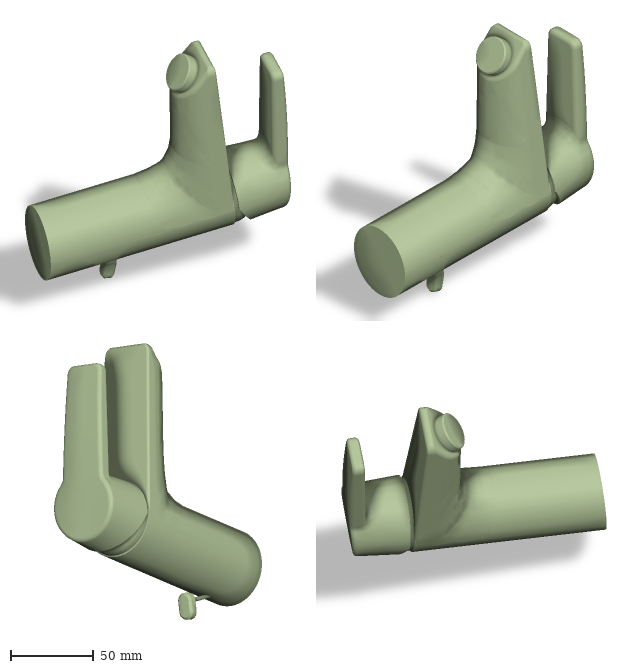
import cadquery as cq
import math

body_tilt = 5.0
body_diameter = 47.0
body_radius = body_diameter / 2
body_length = 119.5
end_overrun = 4.8
cutter_size = 160.3

spout_side_y = 108.2
spout_blend_z = 47.5
spout_front_y = 87.7
spout_front_slope = 0.075
spout_side_slope = 0.068
spout_height = 117.0
spout_tip_z = 111.4
spout_corner_radius = 6.4
spout_top_z = 115.4
spout_top_angle = 52.0
spout_edge_radius = 2.9
spout_back_edge_radius = 1.6

blend_start_y = 66.0
blend_steps = 10

outlet_radius = 11.7
outlet_height = 6.3
outlet_offset = 22.5
outlet_angle = 55.6
outlet_depth = 4.8
outlet_edge = 0.8

neck_radius = 22.5
neck_length = 3.8
cap_length = 12.8
cap_end_radius = 17.6
cap_bulge_radius = 21.2
cap_bulge_y = 8.0
joint_overlap = 1.6

head_front_y = 122.3
head_front_diameter = 48.5
head_front_radius = head_front_diameter / 2
head_back_radius = 21.6
head_back_y = 160.3
relief_start_y = 122.8
relief_end_y = 133.8
relief_overrun = 1.6
handle_overrun = 3.2

lever_front_y = 147.1
lever_top_z = 101.3
lever_bottom_z = 12.8
lever_base_half_width = 15.5
lever_top_half_width = 12.5
lever_corner_radius = 4.8
lever_edge_radius = 2.9
lever_back_edge_radius = 2.4
lever_root_radius = 5.6
lever_root_low_z = 24.0
lever_root_high_z = 41.7
lever_free_z = 48.1
lever_middle_y = 152.7
selection_margin = 0.2
handle_back_y = 157.0
handle_back_edge_y = 154.8
handle_back_mid_z = 56.1
handle_back_bottom_z = -11.2

rod_radius = 1.3
rod_length = 32.0
rod_rise = 2.9
rod_angle = 18.0
knob_y = 45.4
knob_z = -31.1
knob_length = 16.5
knob_width = 10.0
knob_thickness = 7.0
knob_tilt = -11.0
knob_edge = 1.5


def tilt(shape):
    return shape.rotate((0, 0, 0), (1, 0, 0), body_tilt)


def spout_half_width(z):
    return body_radius - spout_side_slope * z


def spout_front(z):
    return spout_front_y + spout_front_slope * z


def half_ellipse(half_width, base, apex):
    """Closed half-elliptical wire from a straight base to an apex, both (y, z) points."""
    depth_y = apex[0] - base[0]
    depth_z = apex[1] - base[1]
    depth = math.hypot(depth_y, depth_z)
    normal = (0, -depth_z, depth_y)
    plane = cq.Plane((0, base[0], base[1]), (1, 0, 0), normal)
    major = max(half_width, depth)
    minor = min(half_width, depth)
    if half_width >= depth:
        major_direction = plane.xDir
        angles = (0, 180)
    else:
        major_direction = plane.yDir
        angles = (-90, 90)
    arc = cq.Edge.makeEllipse(major, minor, plane.origin, plane.zDir, major_direction, *angles, 1)
    chord = cq.Edge.makeLine(arc.endPoint(), arc.startPoint())
    return cq.Wire.assembleEdges([arc, chord])


def make_body():
    back_plane = cq.Workplane("XZ", origin=(0, body_length, 0))
    body = back_plane.circle(body_radius).extrude(body_length + end_overrun)
    neck = (
        cq.Workplane("XY")
        .moveTo(0, body_length - joint_overlap)
        .lineTo(neck_radius, body_length - joint_overlap)
        .lineTo(neck_radius, body_length + neck_length)
        .threePointArc(
            (cap_bulge_radius, body_length + cap_bulge_y),
            (cap_end_radius, body_length + cap_length),
        )
        .lineTo(0, body_length + cap_length)
        .close()
        .revolve(360, (0, 0, 0), (0, 1, 0))
    )
    return body.union(neck)


def spout_outline(height, depth):
    """Tapering block as wide as the spout, reaching forward from its back face."""
    top_half_width = spout_half_width(height)
    return (
        cq.Workplane("XZ", origin=(0, body_length, 0))
        .polyline([
            (-body_radius, 0),
            (body_radius, 0),
            (top_half_width, height),
            (-top_half_width, height),
        ])
        .close()
        .extrude(depth)
    )


def make_spout():
    flat_part = spout_outline(spout_height, body_length - spout_side_y)
    sections = [
        half_ellipse(spout_half_width(z), (spout_side_y, z), (spout_front(z), z))
        for z in (0, spout_height)
    ]
    spout = flat_part.union(cq.Workplane(cq.Solid.makeLoft(sections, True)))
    above_top = cq.Workplane(top_plane()).rect(cutter_size, cutter_size).extrude(cutter_size)
    spout = spout.cut(above_top)
    top_face = cq.selectors.DirectionMinMaxSelector(top_plane().zDir, True)
    spout = spout.faces(top_face).edges().fillet(spout_edge_radius)
    rounded_tip = (
        spout_outline(spout_tip_z, 2 * body_radius)
        .edges("|Y and >Z")
        .fillet(spout_corner_radius)
        .faces(">Y")
        .edges("not <Z")
        .fillet(spout_back_edge_radius)
    )
    return spout.intersect(rounded_tip)


def sloping_normal(angle):
    """Normal, before tilting, of a forward-facing surface at this angle to the level once tilted."""
    slope = math.radians(angle - body_tilt)
    return (0, -math.sin(slope), math.cos(slope))


def top_plane():
    """Sloping spout top: local x along X, local y up the slope."""
    return cq.Plane((0, body_length, spout_top_z), (1, 0, 0), sloping_normal(spout_top_angle))


def make_outlet():
    centre = top_plane().toWorldCoords((0, -outlet_offset, 0))
    plane = cq.Plane(centre, (1, 0, 0), sloping_normal(outlet_angle))
    end_face = cq.selectors.DirectionMinMaxSelector(plane.zDir, True)
    return (
        cq.Workplane(plane)
        .workplane(offset=-outlet_depth)
        .circle(outlet_radius)
        .extrude(outlet_depth + outlet_height)
        .faces(end_face)
        .chamfer(outlet_edge)
    )


def make_blend():
    arc_end_y = spout_front(spout_blend_z)
    radius = arc_end_y - blend_start_y
    sections = []
    for step in range(blend_steps + 1):
        share = step / blend_steps
        angle = math.radians(90 * share)
        apex = (
            blend_start_y + radius * math.sin(angle),
            spout_blend_z - (spout_blend_z - body_radius) * math.cos(angle),
        )
        base = (
            blend_start_y + (spout_side_y - blend_start_y) * min(1, 2 * share),
            spout_blend_z * max(0, 2 * share - 1),
        )
        sections.append(half_ellipse(spout_half_width(base[1]), base, apex))
    return cq.Workplane(cq.Solid.makeLoft(sections, False))


def make_handle():
    head = (
        cq.Workplane("XY")
        .polyline([
            (0, head_front_y),
            (head_front_radius, head_front_y),
            (head_back_radius, head_back_y),
            (0, head_back_y),
        ])
        .close()
        .revolve(360, (0, 0, 0), (0, 1, 0))
    )
    relief = (
        cq.Workplane("YZ")
        .polyline([
            (head_front_y - relief_overrun, 0),
            (relief_start_y, 0),
            (relief_end_y, -body_radius),
            (relief_end_y, -2 * body_radius),
            (head_front_y - relief_overrun, -2 * body_radius),
        ])
        .close()
        .extrude(2 * body_radius, both=True)
    )
    head = tilt(head.cut(relief))
    lever = (
        cq.Workplane("XZ", origin=(0, handle_back_y + handle_overrun, 0))
        .polyline([
            (-lever_base_half_width, lever_bottom_z),
            (lever_base_half_width, lever_bottom_z),
            (lever_top_half_width, lever_top_z),
            (-lever_top_half_width, lever_top_z),
        ])
        .close()
        .extrude(handle_back_y + handle_overrun - lever_front_y)
        .edges("|Y and >Z")
        .fillet(lever_corner_radius)
    )
    handle = head.union(lever)
    allowed = (
        cq.Workplane("YZ")
        .moveTo(handle_back_edge_y, lever_top_z)
        .threePointArc((handle_back_y, handle_back_mid_z), (handle_back_edge_y, handle_back_bottom_z))
        .lineTo(handle_back_edge_y, -cutter_size)
        .lineTo(0, -cutter_size)
        .lineTo(0, lever_top_z)
        .close()
        .extrude(2 * body_radius, both=True)
    )
    handle = handle.intersect(allowed)
    root_zone = cq.selectors.BoxSelector(
        (-body_radius, lever_front_y - selection_margin, lever_root_low_z),
        (body_radius, handle_back_y, lever_root_high_z),
    )
    lever_zone = cq.selectors.BoxSelector(
        (-body_radius, lever_front_y - selection_margin, lever_free_z),
        (body_radius, lever_front_y + selection_margin, lever_top_z + selection_margin),
    )
    handle = handle.edges(lever_zone).fillet(lever_edge_radius)
    handle = handle.edges(root_zone).fillet(lever_root_radius)
    back_zone = cq.selectors.BoxSelector(
        (-body_radius, lever_middle_y, lever_free_z),
        (body_radius, handle_back_y, lever_top_z + selection_margin),
    )
    return handle.edges(back_zone).fillet(lever_back_edge_radius)


def make_rod():
    knob = (
        cq.Workplane("XZ")
        .slot2D(knob_length, knob_width, 90)
        .extrude(knob_thickness / 2, both=True)
        .faces("<Y or >Y")
        .edges()
        .chamfer(knob_edge)
        .rotate((0, 0, 0), (1, 0, 0), knob_tilt)
    )
    rod = (
        cq.Workplane("XZ")
        .circle(rod_radius)
        .extrude(rod_length)
        .rotate((0, 0, 0), (1, 0, 0), -rod_angle)
        .translate((0, 0, rod_rise))
    )
    return knob.union(rod).translate((0, knob_y, knob_z))


tap = make_body().union(make_spout()).union(make_blend()).union(make_outlet())
before_end = cq.Workplane("XY").box(cutter_size, cutter_size, cutter_size)
before_end = before_end.translate((0, -cutter_size / 2, 0))
result = tilt(tap).cut(before_end).union(make_handle()).union(make_rod())